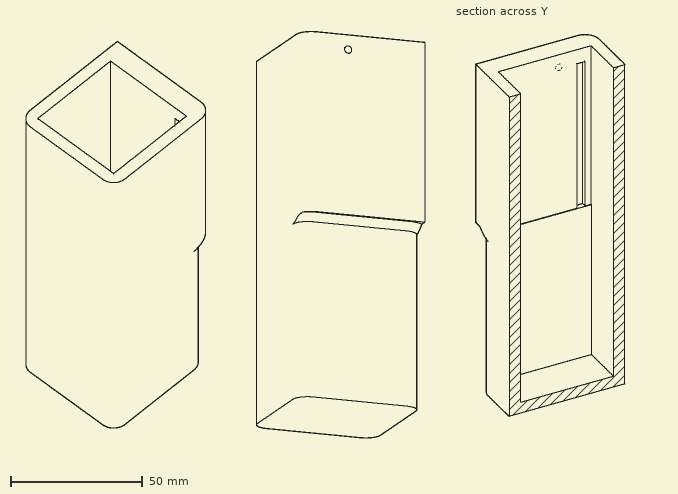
import cadquery as cq
import math

width = 50.0
height = 143.0
wall = 5.0
corner_radius = 6.0
bore = width - 2 * wall
bore_end = wall + bore

depth = 54.0
ledge_height = 72.1
bore_step = 0.3

flare_height = 3.0
flare_reach = 3.0

groove_width = 3.5
groove_depth = 2.0
groove_side_gap = 2.6
groove_top_gap = 6.3

hole_diameter = 2.9
hole_web = 0.5
hole_side_gap = 13.7
hole_top_gap = 5.9


def block(x, y, z, size_x, size_y, size_z):
    """Box placed by its minimum corner."""
    return cq.Workplane("XY").box(size_x, size_y, size_z, centered=False).translate((x, y, z))


def make_tube():
    return block(0, 0, 0, width, width, height).edges("|Z").fillet(corner_radius)


def make_upper_back():
    """Upper block: all vertical corners are round except the sharp -X back corner."""
    upper = block(0, 0, ledge_height, width, depth, height - ledge_height)
    return upper.edges("|Z and (<Y or >X)").fillet(corner_radius)


def make_flare(upper_back):
    """Tube outline growing upward, trimmed to the outline of the upper block."""
    base = ledge_height - flare_height
    taper = math.degrees(math.atan2(flare_reach, flare_height))
    outline = cq.Sketch().rect(width, width).vertices().fillet(corner_radius)
    flare = cq.Workplane("XY").placeSketch(outline).extrude(flare_height, taper=-taper)
    flare = flare.translate((width / 2, width / 2, base))
    return flare.intersect(upper_back.translate((0, 0, -flare_height)))


def make_bore():
    """Square bore, closed at the bottom by a floor as thick as the walls."""
    lower = block(wall, wall, wall, bore, bore - bore_step, height - wall)
    upper = block(wall, wall, ledge_height, bore, bore, height - ledge_height)
    return lower.union(upper)


def make_groove():
    x = bore_end - groove_side_gap - groove_width
    length = height - groove_top_gap - ledge_height
    return block(x, bore_end, ledge_height, groove_width, groove_depth, length)


def make_blind_hole():
    """Hole drilled from the back face, stopping just short of the bore."""
    x = bore_end - hole_side_gap
    z = height - hole_top_gap
    bottom = bore_end + hole_web
    hole = cq.Workplane("XZ").circle(hole_diameter / 2).extrude(bottom - depth)
    return hole.translate((x, bottom, z))


upper_back = make_upper_back()
result = make_tube().union(upper_back).union(make_flare(upper_back))
result = result.cut(make_bore()).cut(make_groove()).cut(make_blind_hole())